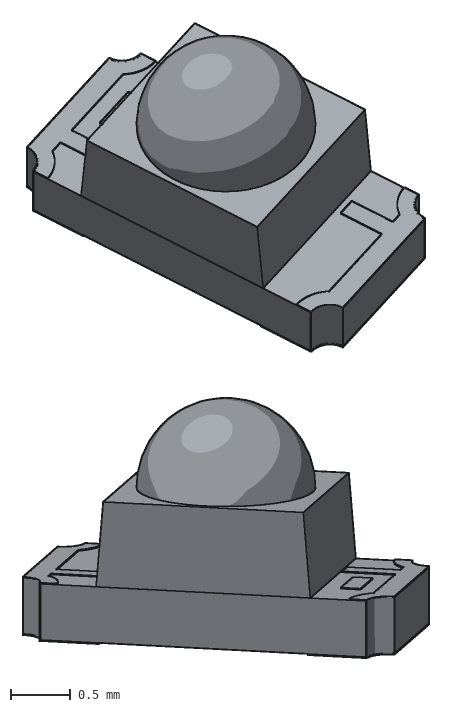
import cadquery as cq

length = 3.2
width = 1.6
total_height = 1.97

board_height = 0.5
plating = 0.01
core_height = board_height - 2 * plating
core_top = board_height - plating
corner_radius = 0.2
plated_radius = corner_radius - plating

top_pad_length = 0.2
pad_ring_radius = 0.34
bottom_pad_length = 0.7
tab_width = 0.165
left_tab_end = -0.94
left_tab_y = -0.323
right_tab_end = 0.983
right_tab_y = 0.342

mark_length = 0.17
mark_width = 0.425
mark_x = -1.168
mark_y = 0.172

dome_radius = 0.75
mold_top = total_height - dome_radius
mold_base_length = 1.845
mold_top_length = 1.725

corners = [(sx * length / 2, sy * width / 2) for sx in (-1, 1) for sy in (-1, 1)]


def slab(x_start, x_end, y_start, y_end, z_bottom, height):
    """Rectangular block between two X limits and two Y limits."""
    block = cq.Workplane("XY").box(x_end - x_start, y_end - y_start, height, centered=False)
    return block.translate((x_start, y_start, z_bottom))


def full_width_slab(x_start, x_end, z_bottom, height):
    """Block across the whole board width."""
    return slab(x_start, x_end, -width / 2, width / 2, z_bottom, height)


def corner_posts(radius, z_bottom, height):
    """Upright cylinders centred on the four corners of the board."""
    base = cq.Workplane("XY", origin=(0, 0, z_bottom))
    return base.pushPoints(corners).circle(radius).extrude(height)


def make_core():
    """Bare board with a quarter-round notch at each corner."""
    block = full_width_slab(-length / 2, length / 2, plating, core_height)
    return block.cut(corner_posts(corner_radius, plating, core_height))


def make_electrode(side, tab_end, tab_y):
    """Plating of one end: top pad with its tab, lined corner notches and bottom pad."""
    end = side * length / 2

    def end_slab(pad_length, z_bottom, height):
        """Full-width block reaching inward from this end of the board."""
        inner = end - side * pad_length
        return full_width_slab(min(end, inner), max(end, inner), z_bottom, height)

    top_zone = end_slab(length / 2, core_top, plating)
    top_pad = end_slab(top_pad_length, core_top, plating)
    top_pad = top_pad.union(corner_posts(pad_ring_radius, core_top, plating).intersect(top_zone))
    tab = slab(
        min(end, tab_end), max(end, tab_end),
        tab_y - tab_width / 2, tab_y + tab_width / 2,
        core_top, plating,
    )
    bottom_pad = end_slab(bottom_pad_length, 0, plating)
    notch_lining = corner_posts(corner_radius, 0, board_height).intersect(
        end_slab(bottom_pad_length, 0, board_height)
    )
    electrode = notch_lining.union(bottom_pad).union(top_pad).union(tab)
    return electrode.cut(corner_posts(plated_radius, 0, board_height))


def make_polarity_mark():
    """Thin rectangular patch on top of the bare board."""
    return slab(
        mark_x - mark_length / 2, mark_x + mark_length / 2,
        mark_y - mark_width / 2, mark_y + mark_width / 2,
        core_top, plating,
    )


def make_lens():
    """Tapered block with a hemispherical dome, molded in one piece."""
    block = (
        cq.Workplane("XZ", origin=(0, width / 2, 0))
        .moveTo(-mold_base_length / 2, core_top)
        .lineTo(mold_base_length / 2, core_top)
        .lineTo(mold_top_length / 2, mold_top)
        .lineTo(-mold_top_length / 2, mold_top)
        .close()
        .extrude(width)
    )
    dome = (
        cq.Workplane("XZ")
        .moveTo(0, mold_top)
        .lineTo(dome_radius, mold_top)
        .radiusArc((0, total_height), -dome_radius)
        .close()
        .revolve(360, (0, 0, 0), (0, 1, 0))
    )
    return block.union(dome)


core = make_core()
left_electrode = make_electrode(-1, left_tab_end, left_tab_y)
right_electrode = make_electrode(1, right_tab_end, right_tab_y)
polarity_mark = make_polarity_mark()
lens = make_lens()

result = cq.Compound.makeCompound([
    core.val(),
    left_electrode.val(),
    right_electrode.val(),
    polarity_mark.val(),
    lens.val(),
])